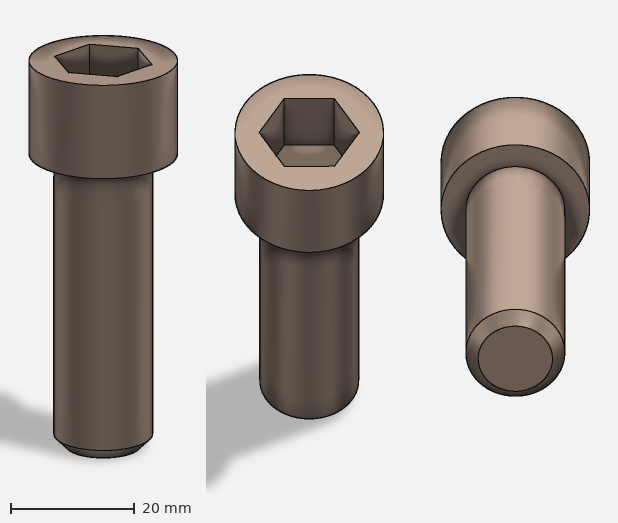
import cadquery as cq
import math

head_diameter = 24.0
head_height = 16.0

socket_across_flats = 14.0
socket_depth = 12.0

shank_diameter = 16.0
shank_length = 50.0
neck_length = 6.0
neck_top_diameter = 15.98
tip_chamfer = 2.0

total_length = shank_length + head_height


def make_body():
    """Revolve the half profile of head, neck, shank and chamfered tip about Z."""
    head_radius = head_diameter / 2
    shank_radius = shank_diameter / 2
    half_profile = (
        cq.Workplane("YZ")
        .moveTo(0, 0)
        .lineTo(shank_radius - tip_chamfer, 0)
        .lineTo(shank_radius, tip_chamfer)
        .lineTo(shank_radius, shank_length - neck_length)
        .lineTo(neck_top_diameter / 2, shank_length)
        .lineTo(head_radius, shank_length)
        .lineTo(head_radius, total_length)
        .lineTo(0, total_length)
        .close()
    )
    return half_profile.revolve(360, (0, 0, 0), (0, 1, 0))


def make_socket():
    """Hexagonal prism with two corners above the X axis, open at the top of the head."""
    across_corners = socket_across_flats / math.cos(math.pi / 6)
    return (
        cq.Workplane("XY")
        .workplane(offset=total_length - socket_depth)
        .polygon(6, across_corners)
        .extrude(socket_depth)
    )


result = make_body().cut(make_socket())